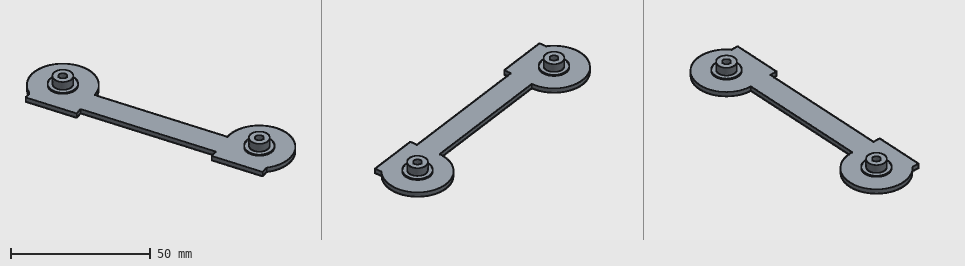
import cadquery as cq

length = 106.0
disc_diameter = 26.0
plate_thickness = 2.0
total_height = 6.0

arm_width = 10.0
foot_outer_offset = 8.3
foot_inner_offset = 12.5

collar_diameter = 11.0
collar_height = 0.5
boss_diameter = 7.5
bore_diameter = 3.2

disc_radius = disc_diameter / 2
disc_spacing = length - disc_diameter
foot_depth = disc_radius - arm_width
foot_width = foot_outer_offset + foot_inner_offset


def cylinder(x, diameter, height):
    """Upright cylinder standing on the bottom plane at the given X."""
    return cq.Workplane("XY").center(x, 0).circle(diameter / 2).extrude(height)


def foot(side):
    """Rectangular foot below the arm, flush with the lowest point of the disc."""
    inner_x = side * (disc_spacing / 2 - foot_inner_offset)
    center_x = inner_x + side * foot_width / 2
    return (
        cq.Workplane("XY")
        .center(center_x, -arm_width - foot_depth / 2)
        .rect(foot_width, foot_depth)
        .extrude(plate_thickness)
    )


result = (
    cq.Workplane("XY")
    .center(0, -arm_width / 2)
    .rect(disc_spacing, arm_width)
    .extrude(plate_thickness)
)

for side in (-1, 1):
    disc_x = side * disc_spacing / 2
    result = (
        result.union(cylinder(disc_x, disc_diameter, plate_thickness))
        .union(foot(side))
        .union(cylinder(disc_x, collar_diameter, plate_thickness + collar_height))
        .union(cylinder(disc_x, boss_diameter, total_height))
        .cut(cylinder(disc_x, bore_diameter, total_height))
    )